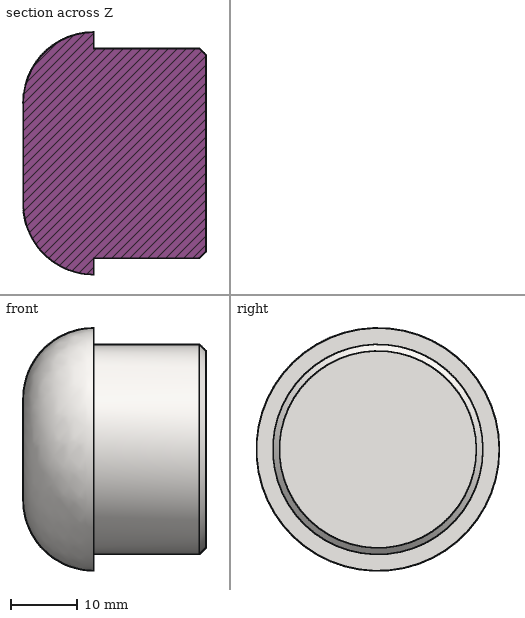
import cadquery as cq

head_radius = 18.4
dome_radius = 10.75
shank_radius = 31.8 / 2
total_length = 27.7
chamfer_size = 1.0

head = (
    cq.Workplane("XY")
    .moveTo(0, 0)
    .lineTo(0, head_radius - dome_radius)
    .radiusArc((dome_radius, head_radius), dome_radius)
    .lineTo(dome_radius, 0)
    .close()
    .revolve(360, (0, 0, 0), (1, 0, 0))
)

shank = (
    cq.Workplane("XY")
    .moveTo(dome_radius, 0)
    .lineTo(dome_radius, shank_radius)
    .lineTo(total_length - chamfer_size, shank_radius)
    .lineTo(total_length, shank_radius - chamfer_size)
    .lineTo(total_length, 0)
    .close()
    .revolve(360, (0, 0, 0), (1, 0, 0))
)

result = head.union(shank)